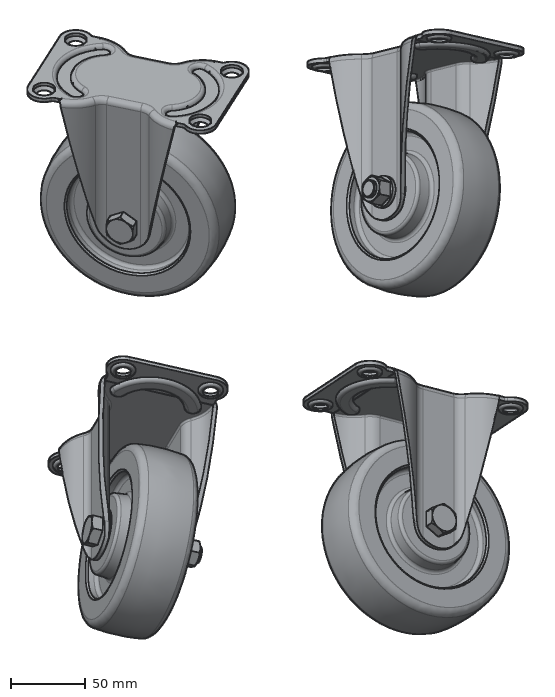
import cadquery as cq
import math


wheel_diameter = 130.0
mounting_height = 165.0
plate_length = 135.0
plate_width = 86.0
sheet = 3.0
bolt_diameter = 12.0

wheel_radius = wheel_diameter / 2
plate_top = mounting_height - wheel_radius
plate_bottom = plate_top - sheet
bolt_radius = bolt_diameter / 2

leg_outer_y = 29.0
leg_inner_y = leg_outer_y - sheet
flat_half_width = 12.2
flare_inner_radius = 9.7
flare_outer_radius = 31.3
flare_angle = math.radians(47)
top_bend_radius = 4.3
foot_radius = 19.0
side_taper = math.radians(12.4)
side_flare = 3.8
side_flare_height = 4.0
web_half_length = 47.0

mount_x = 56.0
mount_y = 31.5
lobe_radius = plate_length / 2 - mount_x
waist_half_width = 39.1
plate_inner_x = 41.0
lobe_blend = 2.5
mount_hole_radius = 5.25
counterbore_radius = 7.55
counterbore_depth = 2.4
mount_boss_radius = 6.7
mount_boss_depth = 1.8

groove_center_x = 22.0
groove_radius = 29.4
groove_half_angle = 65.0
groove_floor_half_width = 4.6
groove_depth = 3.2
groove_rib_half_width = 3.0
groove_rib_depth = 2.8

tread_half_width = 21.0
tread_crown = 1.8
tread_round = 5.5
recess_radius = 44.0
recess_depth = 8.0
recess_rim_chamfer = 1.3
recess_fillet = 2.6
hub_radius = 28.2
hub_half_width = 25.0
hub_edge_round = 2.3
hub_base_fillet = 2.5
hub_base_radius = 29.4
boss_radius = 16.5

head_across_flats = 19.0
head_height = 7.7
nut_across_flats = 17.0
nut_flange_radius = 10.9
nut_flange_height = 2.8
nut_height = 10.0
bolt_end_y = 44.15
bolt_end_chamfer = 0.6
corner_chamfer_angle = math.radians(30)

match_tolerance = 1e-3


def bent_blank(inset, top, edge_round):
    """Solid bounded by the flared leg faces moved in by `inset`, rounded along its top edges."""
    concave = flare_inner_radius + inset
    convex = flare_outer_radius - inset
    flat_y = leg_outer_y - inset
    concave_center_y = flat_y + concave
    bend_x = flat_half_width + concave * math.sin(flare_angle)
    bend_y = concave_center_y - concave * math.cos(flare_angle)
    half_angle = flare_angle / 2
    concave_mid = (
        flat_half_width + concave * math.sin(half_angle),
        concave_center_y - concave * math.cos(half_angle),
    )
    crest_x = bend_x + convex * math.sin(flare_angle)
    convex_center_y = bend_y - convex * math.cos(flare_angle)
    crest_y = convex_center_y + convex
    convex_mid = (
        crest_x - convex * math.sin(half_angle),
        convex_center_y + convex * math.cos(half_angle),
    )
    quarter = (
        cq.Workplane("XY")
        .workplane(offset=-foot_radius)
        .lineTo(0, flat_y)
        .lineTo(flat_half_width, flat_y)
        .threePointArc(concave_mid, (bend_x, bend_y))
        .threePointArc(convex_mid, (crest_x, crest_y))
        .lineTo(web_half_length, crest_y)
        .lineTo(web_half_length, 0)
        .close()
        .extrude(top + foot_radius)
    )
    half = quarter.union(quarter.mirror("YZ"))
    blank = half.union(half.mirror("XZ")).clean()
    return blank.faces(">Z").edges("not(|Y)").fillet(edge_round)


def leg_silhouette():
    """Block with the tapered, round-footed shape of the legs, used to trim the bent blank."""
    tangent_x = foot_radius * math.cos(side_taper)
    tangent_z = -foot_radius * math.sin(side_taper)
    neck_z = plate_top - side_flare_height
    neck_x = tangent_x + (neck_z - tangent_z) * math.tan(side_taper)
    top_x = neck_x + side_flare
    flare_mid_x = neck_x + side_flare * (1 - math.cos(math.pi / 4))
    flare_mid_z = neck_z + side_flare_height * math.sin(math.pi / 4)
    return (
        cq.Workplane("XZ")
        .moveTo(-tangent_x, tangent_z)
        .threePointArc((0, -foot_radius), (tangent_x, tangent_z))
        .lineTo(neck_x, neck_z)
        .threePointArc((flare_mid_x, flare_mid_z), (top_x, plate_top))
        .lineTo(-top_x, plate_top)
        .threePointArc((-flare_mid_x, flare_mid_z), (-neck_x, neck_z))
        .close()
        .extrude(plate_width / 2, both=True)
    )


def plate_end():
    """Plate beyond the web on the +X side, with a round lobe at each mounting hole."""
    waist_length = mount_x - plate_inner_x
    end = (
        cq.Workplane("XY", origin=(plate_inner_x + waist_length / 2, 0, plate_bottom))
        .rect(waist_length, 2 * waist_half_width)
        .extrude(sheet)
    )
    outer_strip = (
        cq.Workplane("XY", origin=(mount_x, 0, plate_bottom))
        .rect(2 * lobe_radius, 2 * mount_y)
        .extrude(sheet)
    )
    lobes = (
        cq.Workplane("XY", origin=(mount_x, 0, plate_bottom))
        .pushPoints([(0, -mount_y), (0, mount_y)])
        .circle(lobe_radius)
        .extrude(sheet)
    )
    end = end.union(outer_strip).union(lobes).clean()
    lobe_rise = waist_half_width - mount_y
    notch_x = mount_x - math.sqrt(lobe_radius**2 - lobe_rise**2)
    for side in (-1, 1):
        notch_point = (notch_x, side * waist_half_width, plate_top - sheet / 2)
        notch = cq.selectors.NearestToPointSelector(notch_point)
        end = end.edges("|Z").edges(notch).fillet(lobe_blend)
    return end


def quarter_round(low_half_width, low_z, radius, trumpet):
    """Low end, middle and high end of a quarter-round side, as (half width, height) points.

    A trumpet side leaves the low end upright and flattens out; otherwise it starts flat and ends upright.
    """
    diagonal = radius * math.cos(math.pi / 4)
    high = (low_half_width + radius, low_z + radius)
    if trumpet:
        middle = (high[0] - diagonal, low_z + diagonal)
    else:
        middle = (low_half_width + diagonal, high[1] - diagonal)
    return (low_half_width, low_z), middle, high


def turned_round(side):
    """Body turned about the Z axis with the given quarter-round side."""
    low, middle, high = side
    return (
        cq.Workplane("XZ")
        .moveTo(0, low[1])
        .lineTo(*low)
        .threePointArc(middle, high)
        .lineTo(0, high[1])
        .close()
        .revolve(360, (0, 0), (0, 1))
    )


def groove_sweep(side):
    """Body along the +X groove with the given quarter-round side on both edges and round ends."""
    low, middle, high = side
    body = (
        cq.Workplane("XZ", origin=(groove_radius, 0, 0))
        .moveTo(-low[0], low[1])
        .lineTo(*low)
        .threePointArc(middle, high)
        .lineTo(-high[0], high[1])
        .threePointArc((-middle[0], middle[1]), (-low[0], low[1]))
        .close()
        .revolve(2 * groove_half_angle, (-groove_radius, 0), (-groove_radius, 1))
        .rotate((0, 0, 0), (0, 0, 1), -groove_half_angle)
    )
    cap = turned_round(side).translate((groove_radius, 0, 0))
    for angle in (-groove_half_angle, groove_half_angle):
        body = body.union(cap.rotate((0, 0, 0), (0, 0, 1), angle))
    return body.translate((groove_center_x, 0, 0))


def mounting_hole():
    """Counterbore followed by a cone that narrows down to the through diameter."""
    bottom = plate_bottom - mount_boss_depth
    cone_top = plate_top - counterbore_depth
    return (
        cq.Workplane("XZ")
        .moveTo(0, bottom)
        .lineTo(mount_hole_radius, bottom)
        .lineTo(counterbore_radius, cone_top)
        .lineTo(counterbore_radius, plate_top)
        .lineTo(0, plate_top)
        .close()
        .revolve(360, (0, 0), (0, 1))
    )


def make_fork():
    outer = bent_blank(0, plate_top, top_bend_radius)
    inner = bent_blank(sheet, plate_bottom, top_bend_radius - sheet)
    fork = outer.cut(inner).intersect(leg_silhouette())

    end = plate_end()
    fork = fork.union(end).union(end.mirror("YZ"))

    rib_bottom = plate_bottom - groove_rib_depth
    rib = groove_sweep(quarter_round(groove_rib_half_width, rib_bottom, groove_rib_depth, trumpet=False))
    groove_floor = plate_top - groove_depth
    groove = groove_sweep(quarter_round(groove_floor_half_width, groove_floor, groove_depth, trumpet=True))
    fork = fork.union(rib).union(rib.mirror("YZ"))
    fork = fork.cut(groove).cut(groove.mirror("YZ"))

    boss_bottom = plate_bottom - mount_boss_depth
    boss = turned_round(quarter_round(mount_boss_radius, boss_bottom, mount_boss_depth, trumpet=False))
    hole = mounting_hole()
    for x in (-mount_x, mount_x):
        for y in (-mount_y, mount_y):
            fork = fork.union(boss.translate((x, y, 0))).cut(hole.translate((x, y, 0)))

    bolt_hole = cq.Workplane("XZ").circle(bolt_radius).extrude(plate_width / 2, both=True)
    return fork.cut(bolt_hole)


def circles_at(body, radius, y):
    """Circular edges of a body turned about the Y axis, at the given radius and at both +y and -y."""
    picked = [
        edge
        for edge in body.edges("%CIRCLE").vals()
        if abs(edge.radius() - radius) < match_tolerance
        and abs(abs(edge.Center().y) - y) < match_tolerance
    ]
    return body.newObject(picked)


def make_wheel():
    floor_y = tread_half_width - recess_depth
    tread_edge_radius = wheel_radius - tread_crown
    wheel = (
        cq.Workplane("XY")
        .moveTo(bolt_radius, -leg_inner_y)
        .lineTo(boss_radius, -leg_inner_y)
        .lineTo(boss_radius, -hub_half_width)
        .lineTo(hub_radius, -hub_half_width)
        .lineTo(hub_base_radius, -floor_y)
        .lineTo(recess_radius, -floor_y)
        .lineTo(recess_radius, -tread_half_width)
        .lineTo(tread_edge_radius, -tread_half_width)
        .threePointArc((wheel_radius, 0), (tread_edge_radius, tread_half_width))
        .lineTo(recess_radius, tread_half_width)
        .lineTo(recess_radius, floor_y)
        .lineTo(hub_base_radius, floor_y)
        .lineTo(hub_radius, hub_half_width)
        .lineTo(boss_radius, hub_half_width)
        .lineTo(boss_radius, leg_inner_y)
        .lineTo(bolt_radius, leg_inner_y)
        .close()
        .revolve(360, (0, 0), (0, 1))
    )
    wheel = circles_at(wheel, tread_edge_radius, tread_half_width).fillet(tread_round)
    wheel = circles_at(wheel, hub_radius, hub_half_width).fillet(hub_edge_round)
    wheel = circles_at(wheel, hub_base_radius, floor_y).fillet(hub_base_fillet)
    wheel = circles_at(wheel, recess_radius, floor_y).fillet(recess_fillet)
    return circles_at(wheel, recess_radius, tread_half_width).chamfer(recess_rim_chamfer)


def hexagon(across_flats, start_y, end_y):
    """Hexagonal prism along Y with a corner pointing up and its corners bevelled at end_y."""
    corner_radius = across_flats / 2 / math.cos(math.pi / 6)
    length = end_y - start_y
    prism = (
        cq.Workplane("XZ", origin=(0, start_y, 0))
        .polygon(6, 2 * corner_radius)
        .extrude(-length)
        .rotate((0, 0, 0), (0, 1, 0), 30)
    )
    flat_radius = across_flats / 2
    bevel = (corner_radius - flat_radius) * math.tan(corner_chamfer_angle)
    bevel_y = end_y - math.copysign(bevel, length)
    envelope = (
        cq.Workplane("XY")
        .moveTo(0, start_y)
        .lineTo(corner_radius, start_y)
        .lineTo(corner_radius, bevel_y)
        .lineTo(flat_radius, end_y)
        .lineTo(0, end_y)
        .close()
        .revolve(360, (0, 0), (0, 1))
    )
    return prism.intersect(envelope)


def make_bolt():
    """Axle bolt with its hexagon head at -Y and its flanged nut at +Y."""
    shank = (
        cq.Workplane("XZ", origin=(0, -leg_outer_y, 0))
        .circle(bolt_radius)
        .extrude(-(leg_outer_y + bolt_end_y))
        .faces(">Y")
        .chamfer(bolt_end_chamfer)
    )
    head = hexagon(head_across_flats, -leg_outer_y, -leg_outer_y - head_height)
    flange_end = leg_outer_y + nut_flange_height
    flange = (
        cq.Workplane("XZ", origin=(0, leg_outer_y, 0))
        .circle(nut_flange_radius)
        .extrude(-nut_flange_height)
    )
    nut = hexagon(nut_across_flats, flange_end, flange_end + nut_height)
    return shank.union(head).union(flange).union(nut)


fork = make_fork()
wheel = make_wheel()
bolt = make_bolt()

result = cq.Compound.makeCompound([fork.solids().val(), wheel.solids().val(), bolt.solids().val()])